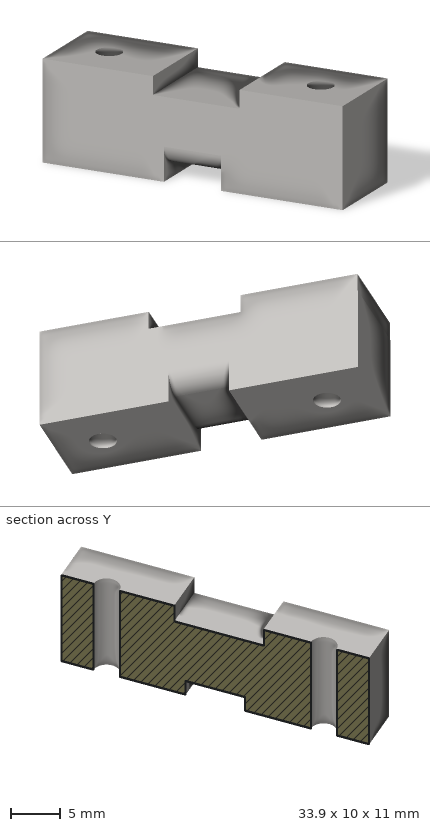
import cadquery as cq

length = 33.85
width = 10.0
height = 11.0

notch_start = 12.45
notch_length = 9.78
notch_depth = 2.0

end_setback = 0.05

slot_length = 6.43
slot_depth = 3.72
slot_roof_radius = 2.0
roof_height = slot_depth - slot_roof_radius

hole_diameter = 2.8
hole_spacing = 23.82


def make_block():
    return cq.Workplane("XY").box(length, width, height, centered=False)


def make_top_notch():
    return (
        cq.Workplane("XY")
        .box(notch_length, width, notch_depth, centered=False)
        .translate((notch_start, 0, height - notch_depth))
    )


def make_end_step():
    return (
        cq.Workplane("XY")
        .box(end_setback, width, notch_depth, centered=False)
        .translate((0, 0, height - notch_depth))
    )


def make_bottom_slot():
    """Slot whose roof curves up to meet the front and back faces."""
    slot_start = (length - slot_length) / 2
    rounding = slot_roof_radius
    diagonal = rounding * 0.5 ** 0.5
    front_centre = rounding
    back_centre = width - rounding
    return (
        cq.Workplane("YZ")
        .workplane(offset=slot_start)
        .lineTo(width, 0)
        .lineTo(width, slot_depth)
        .threePointArc((back_centre + diagonal, slot_depth - diagonal), (back_centre, roof_height))
        .lineTo(front_centre, roof_height)
        .threePointArc((front_centre - diagonal, slot_depth - diagonal), (0, slot_depth))
        .close()
        .extrude(slot_length)
    )


def make_holes():
    half_spacing = hole_spacing / 2
    return (
        cq.Workplane("XY")
        .pushPoints([(length / 2 + side * half_spacing, width / 2) for side in (-1, 1)])
        .circle(hole_diameter / 2)
        .extrude(height)
    )


result = (
    make_block()
    .cut(make_top_notch())
    .cut(make_end_step())
    .cut(make_bottom_slot())
    .cut(make_holes())
)